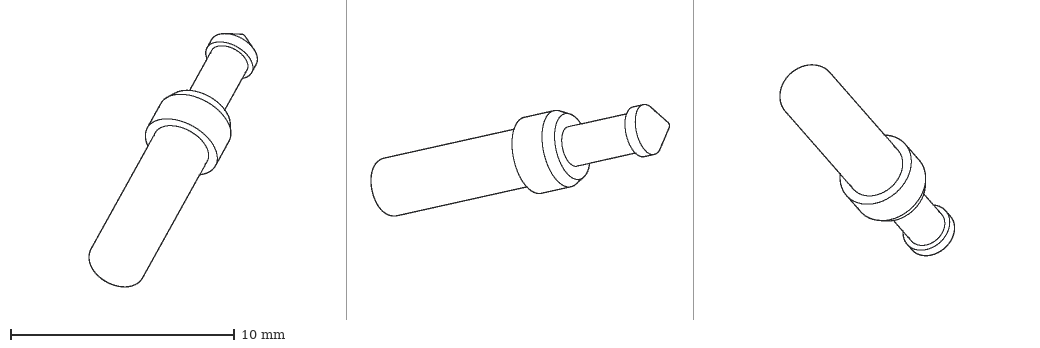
import cadquery as cq
import math

total_length = 15.1

body_radius = 1.33
body_length = 7.9
rear_rounding = 0.4

collar_radius = 1.75
collar_length = 2.1
shoulder_length = 0.51
shoulder_front_radius = 1.51

neck_radius = 0.9
head_radius = 1.15
head_rim_length = 0.55
cone_half_angle = math.radians(45)
nose_radius = 0.2

nose_edge_radius = nose_radius * math.cos(cone_half_angle)
nose_depth = nose_radius * (1 - math.sin(cone_half_angle))
cone_length = (head_radius - nose_edge_radius) / math.tan(cone_half_angle)

rear_y = -total_length / 2
tip_y = total_length / 2
collar_rear_y = rear_y + body_length
collar_front_y = collar_rear_y + collar_length
shoulder_y = collar_front_y - shoulder_length
nose_edge_y = tip_y - nose_depth
cone_base_y = nose_edge_y - cone_length
head_rear_y = cone_base_y - head_rim_length

profile = (
    cq.Workplane("XY")
    .moveTo(0, rear_y)
    .lineTo(body_radius - rear_rounding, rear_y)
    .radiusArc((body_radius, rear_y + rear_rounding), -rear_rounding)
    .lineTo(body_radius, collar_rear_y)
    .lineTo(collar_radius, collar_rear_y)
    .lineTo(collar_radius, shoulder_y)
    .lineTo(shoulder_front_radius, collar_front_y)
    .lineTo(neck_radius, collar_front_y)
    .lineTo(neck_radius, head_rear_y)
    .lineTo(head_radius, head_rear_y)
    .lineTo(head_radius, cone_base_y)
    .lineTo(nose_edge_radius, nose_edge_y)
    .radiusArc((0, tip_y), -nose_radius)
    .close()
)

result = profile.revolve(360, (0, 0, 0), (0, 1, 0))